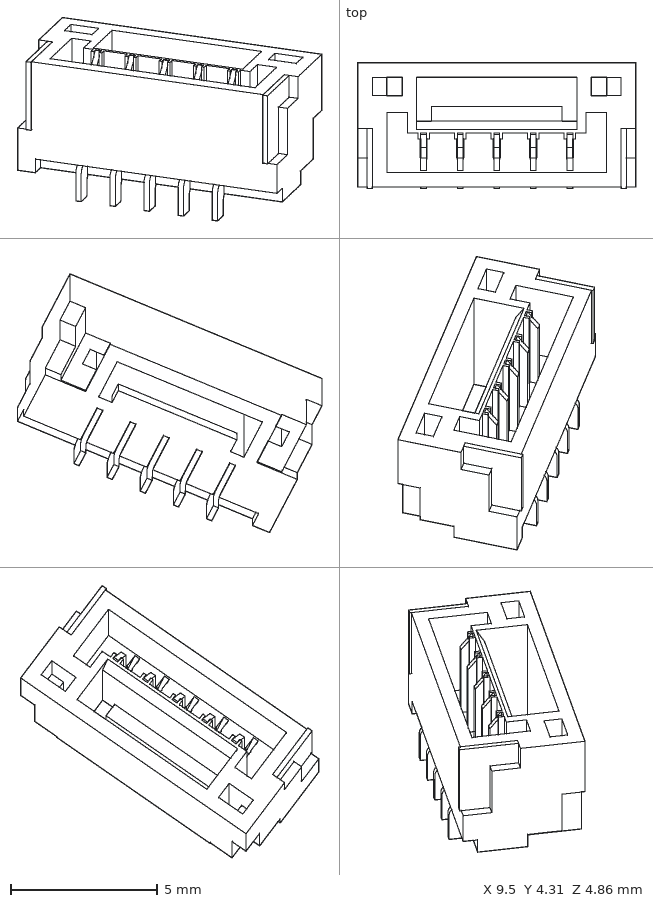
import cadquery as cq


LENGTH = 9.5
DEPTH = 4.25
HEIGHT = 4.06
HALF_LENGTH = LENGTH / 2

WALL = 0.5
CAVITY_HALF = 3.75
CAVITY_BACK = 1.84
SHOULDER_HALF = 3.05
SHOULDER_BACK = 2.55
CAVITY_FLOOR = 1.0

WINDOW_HALF = 2.74
WINDOW_BACK = DEPTH - WALL
WINDOW_FRONT = 2.25
WINDOW_CHAMFER_DEPTH = 0.29
WINDOW_CHAMFER_HEIGHT = 0.5
WINDOW_STEP = WALL
WINDOW_STEP_HALF = WINDOW_HALF - WINDOW_STEP

HOLE_OUTER = HALF_LENGTH - WALL
HOLE_INNER = 3.23
HOLE_FRONT = 3.13
LEDGE_WIDTH = 0.49
LEDGE_TOP = 2.5

FOOT_LENGTH = 0.65
SLOT_DEPTH = WALL
SLOT_HEIGHT = 0.5
NOTCH_INSET = 0.59
NOTCH_FRONT = DEPTH - 1.995
NOTCH_WEB_BACK = DEPTH - 0.8
NOTCH_HEIGHT = 1.995
RELIEF_HEIGHT = 0.09

PIN_COUNT = 5
PIN_ROW_SPAN = 5.0
PIN_PITCH = PIN_ROW_SPAN / (PIN_COUNT - 1)
PIN_THICKNESS = 0.2
BLADE_BACK = CAVITY_BACK
BLADE_FRONT = 1.36
BLADE_TIP = 0.06
BLADE_SLOPE_HEIGHT = 0.5
ARM_HEIGHT = SLOT_HEIGHT
LEG_FRONT = -0.06
LEG_WIDTH = 0.55
LEG_DROP = 0.8
BEND_OUTER_RADIUS = 0.3
BEND_INNER_RADIUS = 0.25

RIB_HALF = 0.2
RIB_FRONT = 1.64
CHANNEL_WIDTH = 0.23
OPENING_FRONT = 1.0
RAMP_FRONT = 0.56

RECESS_DEPTH = 0.5
TAB_THICKNESS = 0.18
TAB_FRONT = -0.06
TAB_TOP_LENGTH = 1.995
TAB_TOP_HEIGHT = 0.8
TAB_LEG_WIDTH = 1.0
TAB_LEG_HEIGHT = 2.5

PIN_POSITIONS = [i * PIN_PITCH - PIN_ROW_SPAN / 2 for i in range(PIN_COUNT)]


def block(x_min, x_max, y_min, y_max, z_min, z_max):
    """Box given by its limits along each axis."""
    return cq.Workplane("XY").box(
        x_max - x_min, y_max - y_min, z_max - z_min, centered=False
    ).translate((x_min, y_min, z_min))


def plate(points, x_min, x_max):
    """Closed (Y, Z) outline extruded from x_min to x_max."""
    return cq.Workplane("YZ").polyline(points).close().extrude(x_max - x_min).translate((x_min, 0, 0))


def both_ends(shape):
    """The shape together with its mirror image at the other end of the housing."""
    return shape.union(shape.mirror("YZ"))


def cavity():
    main = block(-CAVITY_HALF, CAVITY_HALF, WALL, CAVITY_BACK, CAVITY_FLOOR, HEIGHT)
    shoulder = block(SHOULDER_HALF, CAVITY_HALF, CAVITY_BACK, SHOULDER_BACK, CAVITY_FLOOR, HEIGHT)
    return main.union(both_ends(shoulder))


def window():
    outline = [
        (WINDOW_FRONT - WINDOW_CHAMFER_DEPTH, HEIGHT),
        (WINDOW_BACK, HEIGHT),
        (WINDOW_BACK, 0),
        (WINDOW_FRONT, 0),
        (WINDOW_FRONT, HEIGHT - WINDOW_CHAMFER_HEIGHT),
    ]
    step_back = WINDOW_FRONT + WINDOW_STEP
    step = block(-WINDOW_STEP_HALF, WINDOW_STEP_HALF, WINDOW_FRONT, step_back, 0, WINDOW_STEP)
    return plate(outline, -WINDOW_HALF, WINDOW_HALF).cut(step)


def corner_holes():
    upper = block(HOLE_INNER, HOLE_OUTER, HOLE_FRONT, WINDOW_BACK, LEDGE_TOP, HEIGHT)
    lower = block(HOLE_INNER, HOLE_OUTER - LEDGE_WIDTH, HOLE_FRONT, WINDOW_BACK, 0, LEDGE_TOP)
    return both_ends(upper.union(lower))


def front_slot():
    return block(FOOT_LENGTH - HALF_LENGTH, HALF_LENGTH, 0, SLOT_DEPTH, 0, SLOT_HEIGHT)


def back_notches():
    outline = [
        (DEPTH, 0),
        (NOTCH_FRONT, 0),
        (NOTCH_FRONT, SLOT_HEIGHT),
        (NOTCH_WEB_BACK, SLOT_HEIGHT),
        (NOTCH_WEB_BACK, NOTCH_HEIGHT),
        (DEPTH, NOTCH_HEIGHT),
    ]
    wall = HALF_LENGTH - NOTCH_INSET
    notch = plate(outline, wall, HALF_LENGTH)
    relief = block(HOLE_INNER, wall, NOTCH_FRONT, DEPTH, 0, RELIEF_HEIGHT)
    return both_ends(notch.union(relief))


def pin_rib(x):
    """Rib on the cavity's back wall that holds the back of one blade."""
    return block(x - RIB_HALF, x + RIB_HALF, RIB_FRONT, CAVITY_BACK, CAVITY_FLOOR, HEIGHT)


def pin_space(x):
    """Channel for the arm, opening in the cavity floor, ramp and slit in the rib for one pin."""
    half_channel = CHANNEL_WIDTH / 2
    half_pin = PIN_THICKNESS / 2
    channel = block(x - half_channel, x + half_channel, SLOT_DEPTH, BLADE_BACK, 0, SLOT_HEIGHT)
    opening = block(x - half_channel, x + half_channel, OPENING_FRONT, BLADE_BACK, SLOT_HEIGHT, CAVITY_FLOOR)
    ramp_outline = [
        (OPENING_FRONT, SLOT_HEIGHT),
        (OPENING_FRONT, CAVITY_FLOOR),
        (RAMP_FRONT, CAVITY_FLOOR),
    ]
    ramp = plate(ramp_outline, x - half_pin, x + half_pin)
    slit = block(x - half_pin, x + half_pin, RIB_FRONT, BLADE_BACK, CAVITY_FLOOR, HEIGHT)
    return channel.union(opening).union(ramp).union(slit)


def tab_outline(front):
    """Stepped outline shared by a tab and its recess, starting at the given front."""
    return [
        (front, HEIGHT),
        (TAB_TOP_LENGTH, HEIGHT),
        (TAB_TOP_LENGTH, HEIGHT - TAB_TOP_HEIGHT),
        (TAB_LEG_WIDTH, HEIGHT - TAB_TOP_HEIGHT),
        (TAB_LEG_WIDTH, HEIGHT - TAB_LEG_HEIGHT),
        (front, HEIGHT - TAB_LEG_HEIGHT),
    ]


def make_housing():
    body = block(-HALF_LENGTH, HALF_LENGTH, 0, DEPTH, 0, HEIGHT)
    body = body.cut(cavity()).cut(window()).cut(corner_holes())
    body = body.cut(front_slot()).cut(back_notches())
    body = body.cut(both_ends(plate(tab_outline(0), HALF_LENGTH - RECESS_DEPTH, HALF_LENGTH)))
    for x in PIN_POSITIONS:
        body = body.union(pin_rib(x)).cut(pin_space(x))
    return body


def make_pin(x):
    """Pin with an upright blade, an arm under the cavity floor and a leg bent down at the front."""
    leg_back = LEG_FRONT + LEG_WIDTH
    outline = (
        cq.Workplane("YZ")
        .moveTo(BLADE_BACK, 0)
        .lineTo(BLADE_BACK, HEIGHT)
        .lineTo(BLADE_BACK - BLADE_TIP, HEIGHT)
        .lineTo(BLADE_FRONT, HEIGHT - BLADE_SLOPE_HEIGHT)
        .lineTo(BLADE_FRONT, ARM_HEIGHT)
        .lineTo(LEG_FRONT + BEND_OUTER_RADIUS, ARM_HEIGHT)
        .radiusArc((LEG_FRONT, ARM_HEIGHT - BEND_OUTER_RADIUS), -BEND_OUTER_RADIUS)
        .lineTo(LEG_FRONT, -LEG_DROP)
        .lineTo(leg_back, -LEG_DROP)
        .lineTo(leg_back, -BEND_INNER_RADIUS)
        .radiusArc((leg_back + BEND_INNER_RADIUS, 0), BEND_INNER_RADIUS)
        .close()
    )
    return outline.extrude(PIN_THICKNESS).translate((x - PIN_THICKNESS / 2, 0, 0))


def make_right_tab():
    inner_face = HALF_LENGTH - RECESS_DEPTH
    return plate(tab_outline(TAB_FRONT), inner_face, inner_face + TAB_THICKNESS)


housing = make_housing()
pins = [make_pin(x) for x in PIN_POSITIONS]
right_tab = make_right_tab()
tabs = [right_tab, right_tab.mirror("YZ")]

result = cq.Compound.makeCompound(
    [housing.val()] + [pin.val() for pin in pins] + [tab.val() for tab in tabs]
)